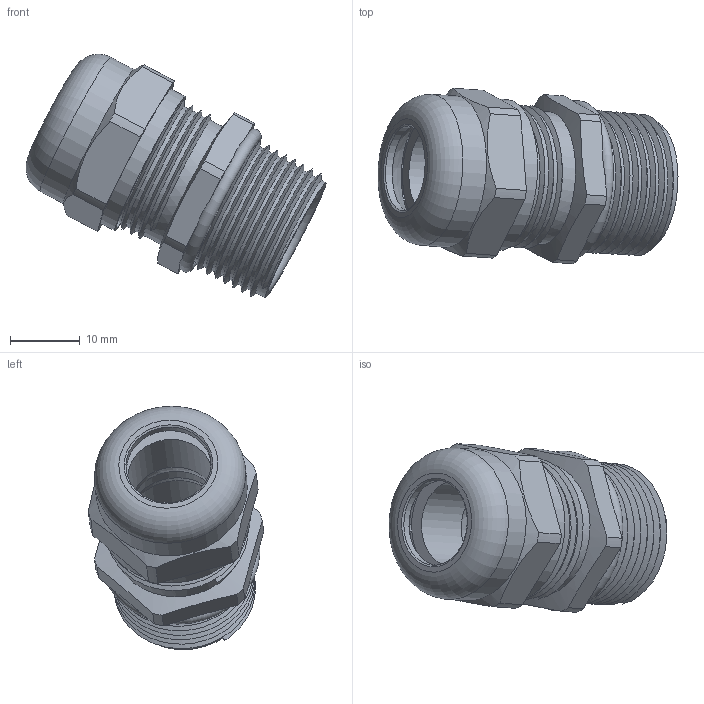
import cadquery as cq
import math


PITCH = 27.7
YAW = -4.0
HEX_ROLL = 12.3

HEX_FLATS = 22.0
HEX_CORNER_DIA = 24.65

CAP_THREAD_DIA = 20.4
THREAD_PITCH = 1.415
THREAD_HALF_ANGLE = 30.0
ENTRY_THREAD_DEPTH = 0.8
THREAD_SINK = 0.1
THREAD_CLEARANCE = 0.1

DOME_DIA = 21.68
DOME_FACE_DIA = 14.22
LIP_RIM_DIA = 12.7
LIP_DIA = 12.2
LIP_CHAMFER_DEPTH = 0.2
LIP_END = 1.3
NUT_HEX_START = 7.55
NUT_HEX_CONE_LENGTH = 1.1
NUT_HEX_END = 13.55
NUT_LENGTH = 15.85
NUT_THREAD_START = 9.0

COLLAR_DIA = 19.02
NECK_DIA = 18.94
ENTRY_TIP_DIA = 18.6
BODY_HEX_START = 22.7
BODY_HEX_CONE_ANGLE = 12.0
BODY_HEX_END = 26.55
BODY_END = 39.4
CAP_THREAD_START = 10.5
CAP_THREAD_TOP = 20.2
ENTRY_THREAD_START = 28.3
ENTRY_THREAD_TOP = 38.2
THREAD_RUN_ON = 0.4
TOP_DIRECTION = 180
SEAT_DEPTH = 17.7
LEDGE_DIA = 14.22
LEDGE_END = 19.0
BODY_BORE_DIA = 14.7
BORE_MOUTH_DIA = 16.9

CAGE_OUTER_DIA = 16.9
CAGE_INNER_DIA = 16.0
CAGE_SLOTS = 12
CAGE_SLOT_WIDTH = 1.0
CAGE_SLOT_END = 12.5

SEAL_BORE_DIA = 12.2
SEAL_START = 3.97
SEAL_FLARE_START = 12.5
SEAL_END = 14.9
SEAL_FLARE_DIA = 13.4

O_RING_WIRE_DIA = 1.97
O_RING_HEIGHT = 27.2


def cylinder(diameter, start, end):
    """Solid round between two heights on the gland axis."""
    return cq.Workplane("XY", origin=(0, 0, start)).circle(diameter / 2).extrude(end - start)


def hexagon(start, end):
    """Hexagon prism with its corners turned to the corner diameter."""
    across_corners = HEX_FLATS / math.cos(math.pi / 6)
    prism = cq.Workplane("XY", origin=(0, 0, start)).polygon(6, across_corners).extrude(end - start)
    prism = prism.intersect(cylinder(HEX_CORNER_DIA, start, end))
    return prism.rotate((0, 0, 0), (0, 0, 1), HEX_ROLL)


def lead_cone(base_dia, start, cone_length, end):
    """Envelope that chamfers the front of a hexagon with a cone."""
    outline = (
        cq.Workplane("XZ")
        .moveTo(0, start)
        .lineTo(base_dia / 2, start)
        .lineTo(HEX_CORNER_DIA / 2, start + cone_length)
        .lineTo(HEX_CORNER_DIA / 2, end)
        .lineTo(0, end)
    )
    return outline.close().revolve(360, (0, 0, 0), (0, 1, 0))


def thread_ridge(end_core_dia, depth, start, top, taper):
    """Right-hand helical ridge with a sharp crest, sunk slightly into its core.

    It is wound back from its end, so that a tapered ridge grows towards its start,
    and passes the top side of the gland at the height top.
    """
    end = top + THREAD_RUN_ON * THREAD_PITCH
    core_radius = end_core_dia / 2
    root = core_radius - THREAD_SINK
    crest = core_radius + depth
    half_base = (crest - root) * math.tan(math.radians(THREAD_HALF_ANGLE))
    if taper:
        helix = cq.Wire.makeHelix(THREAD_PITCH, end - start, core_radius, angle=taper)
    else:
        helix = cq.Wire.makeHelix(THREAD_PITCH, end - start, core_radius)
    ridge = (
        cq.Workplane("XZ")
        .moveTo(root, -half_base)
        .lineTo(crest, 0)
        .lineTo(root, half_base)
        .close()
        .sweep(cq.Workplane(helix), isFrenet=True)
    )
    end_direction = TOP_DIRECTION + 360 * THREAD_RUN_ON
    ridge = ridge.rotate((0, 0, 0), (1, 0, 0), 180)
    return ridge.rotate((0, 0, 0), (0, 0, 1), end_direction).translate((0, 0, end))


def make_dome_nut():
    """Dome with a hexagon, a lipped opening and a bore that clears cage and thread."""
    radius = DOME_DIA / 2
    dome_radius = (DOME_DIA - DOME_FACE_DIA) / 2
    diagonal = dome_radius * math.sqrt(0.5)
    shell = (
        cq.Workplane("XZ")
        .moveTo(0, 0)
        .lineTo(DOME_FACE_DIA / 2, 0)
        .threePointArc((DOME_FACE_DIA / 2 + diagonal, dome_radius - diagonal), (radius, dome_radius))
        .lineTo(radius, NUT_LENGTH)
        .lineTo(0, NUT_LENGTH)
        .close()
        .revolve(360, (0, 0, 0), (0, 1, 0))
    )
    hex_part = hexagon(NUT_HEX_START, NUT_HEX_END).intersect(
        lead_cone(DOME_DIA, NUT_HEX_START, NUT_HEX_CONE_LENGTH, NUT_HEX_END)
    )
    thread_radius = (CAP_THREAD_DIA + THREAD_CLEARANCE) / 2
    cavity = (
        cq.Workplane("XZ")
        .moveTo(0, 0)
        .lineTo(LIP_RIM_DIA / 2, 0)
        .lineTo(LIP_DIA / 2, LIP_CHAMFER_DEPTH)
        .lineTo(LIP_DIA / 2, LIP_END)
        .lineTo(CAGE_OUTER_DIA / 2, SEAL_START)
        .lineTo(CAGE_OUTER_DIA / 2, NUT_THREAD_START)
        .lineTo(thread_radius, NUT_THREAD_START)
        .lineTo(thread_radius, NUT_LENGTH)
        .lineTo(0, NUT_LENGTH)
        .close()
        .revolve(360, (0, 0, 0), (0, 1, 0))
    )
    return shell.union(hex_part).cut(cavity)


def entry_core():
    """Neck under the O-ring followed by the slightly tapered core of the entry thread."""
    outline = (
        cq.Workplane("XZ")
        .moveTo(0, BODY_HEX_END)
        .lineTo(NECK_DIA / 2, BODY_HEX_END)
        .lineTo(NECK_DIA / 2, ENTRY_THREAD_START)
        .lineTo(ENTRY_TIP_DIA / 2, BODY_END)
        .lineTo(0, BODY_END)
    )
    return outline.close().revolve(360, (0, 0, 0), (0, 1, 0))


def make_body():
    """Double-ended threaded tube with a hexagon, a cage seat and a groove for the O-ring."""
    core = cylinder(COLLAR_DIA, NUT_THREAD_START, BODY_HEX_END).union(entry_core())
    cone_rise = (HEX_CORNER_DIA - COLLAR_DIA) / 2
    cone_length = cone_rise * math.tan(math.radians(BODY_HEX_CONE_ANGLE))
    hex_part = hexagon(BODY_HEX_START, BODY_HEX_END).intersect(
        lead_cone(COLLAR_DIA, BODY_HEX_START, cone_length, BODY_HEX_END)
    )
    body = core.union(hex_part)
    body = body.union(
        thread_ridge(COLLAR_DIA, (CAP_THREAD_DIA - COLLAR_DIA) / 2, CAP_THREAD_START, CAP_THREAD_TOP, 0)
    )
    taper_slope = (NECK_DIA - ENTRY_TIP_DIA) / 2 / (BODY_END - ENTRY_THREAD_START)
    entry_end = ENTRY_THREAD_TOP + THREAD_RUN_ON * THREAD_PITCH
    entry_end_dia = ENTRY_TIP_DIA + 2 * taper_slope * (BODY_END - entry_end)
    taper = math.degrees(math.atan(taper_slope))
    body = body.union(
        thread_ridge(entry_end_dia, ENTRY_THREAD_DEPTH, ENTRY_THREAD_START, ENTRY_THREAD_TOP, taper)
    )
    mouth_radius = (BORE_MOUTH_DIA - BODY_BORE_DIA) / 2
    mouth_diagonal = mouth_radius * math.sqrt(0.5)
    bore = (
        cq.Workplane("XZ")
        .moveTo(0, NUT_THREAD_START)
        .lineTo(CAGE_OUTER_DIA / 2, NUT_THREAD_START)
        .lineTo(CAGE_OUTER_DIA / 2, SEAT_DEPTH)
        .lineTo(LEDGE_DIA / 2, SEAT_DEPTH)
        .lineTo(BODY_BORE_DIA / 2, LEDGE_END)
        .lineTo(BODY_BORE_DIA / 2, BODY_END - mouth_radius)
        .threePointArc(
            (BORE_MOUTH_DIA / 2 - mouth_diagonal, BODY_END - mouth_radius + mouth_diagonal),
            (BORE_MOUTH_DIA / 2, BODY_END),
        )
        .lineTo(0, BODY_END)
        .close()
        .revolve(360, (0, 0, 0), (0, 1, 0))
    )
    return body.cut(bore).cut(make_o_ring())


def make_cage():
    """Ring standing on the ledge, split into fingers around the seal."""
    cage = (
        cq.Workplane("XZ")
        .moveTo(CAGE_OUTER_DIA / 2, SEAL_START)
        .lineTo(CAGE_OUTER_DIA / 2, SEAT_DEPTH)
        .lineTo(LEDGE_DIA / 2, SEAT_DEPTH)
        .lineTo(LEDGE_DIA / 2, SEAL_END)
        .lineTo(CAGE_INNER_DIA / 2, SEAL_END)
        .lineTo(CAGE_INNER_DIA / 2, SEAL_START)
        .close()
        .revolve(360, (0, 0, 0), (0, 1, 0))
    )
    slot_length = CAGE_SLOT_END - SEAL_START
    for index in range(CAGE_SLOTS):
        slot = (
            cq.Workplane("XY")
            .box(CAGE_OUTER_DIA, CAGE_SLOT_WIDTH, slot_length, centered=(False, True, False))
            .translate((0, 0, SEAL_START))
            .rotate((0, 0, 0), (0, 0, 1), 360 * index / CAGE_SLOTS)
        )
        cage = cage.cut(slot)
    return cage


def make_seal():
    """Thick tube inside the cage whose bore flares at the inner end."""
    seal = (
        cq.Workplane("XZ")
        .moveTo(SEAL_BORE_DIA / 2, SEAL_START)
        .lineTo(CAGE_INNER_DIA / 2, SEAL_START)
        .lineTo(CAGE_INNER_DIA / 2, SEAL_END)
        .lineTo(SEAL_FLARE_DIA / 2, SEAL_END)
        .lineTo(SEAL_BORE_DIA / 2, SEAL_FLARE_START)
    )
    return seal.close().revolve(360, (0, 0, 0), (0, 1, 0))


def make_o_ring():
    """Ring around the neck, pressed partly into the hexagon's rear face."""
    ring_radius = NECK_DIA / 2 + O_RING_WIRE_DIA / 2
    section = cq.Workplane("XZ").moveTo(ring_radius, O_RING_HEIGHT).circle(O_RING_WIRE_DIA / 2)
    return section.revolve(360, (0, 0, 0), (0, 1, 0))


def place(part):
    """Centre a part built along Z on the gland length and turn it into the tilted position."""
    part = part.translate((0, 0, -BODY_END / 2))
    part = part.rotate((0, 0, 0), (0, 1, 0), 90 + PITCH)
    return part.rotate((0, 0, 0), (0, 0, 1), YAW)


dome_nut = place(make_dome_nut())
body = place(make_body())
cage = place(make_cage())
seal = place(make_seal())
o_ring = place(make_o_ring())

result = cq.Compound.makeCompound([dome_nut.val(), body.val(), cage.val(), seal.val(), o_ring.val()])